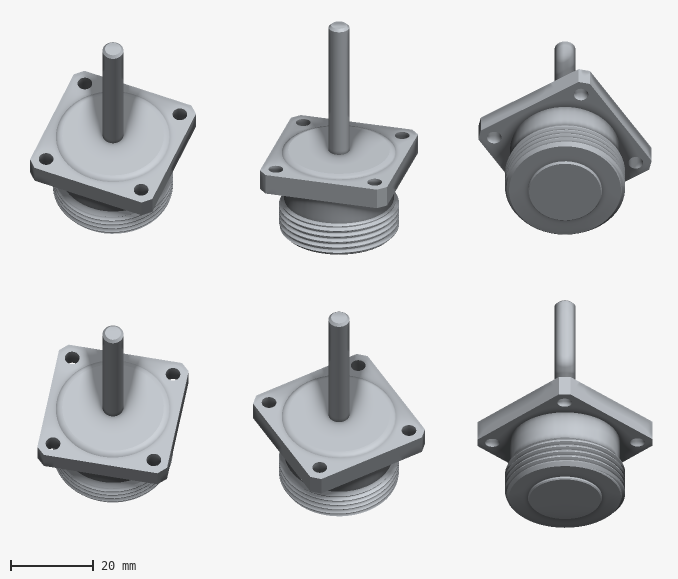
import cadquery as cq
import math

total_height = 56.5
pilot_height = 0.7
neck_bottom = 9.1
flange_bottom = 16.45
flange_top = 21.5
cap_top = 22.2

flange_width = 32.0
corner_chamfer = 2.0
hole_offset = 12.45
hole_diameter = 3.55

pilot_radius = 9.0
pilot_chamfer = 0.3
neck_radius = 13.35
cap_base_radius = 13.85
cap_top_radius = 12.3
cap_bulge = 0.1
rod_radius = 2.55
rod_chamfer = 0.6

thread_radius = 14.6
thread_pitch = 1.505
thread_depth = 0.8
thread_chamfer = 1.0
crest_width = thread_pitch / 8
root_width = thread_pitch / 4
groove_start = -1.1
groove_turns = 8


def cylinder(radius, bottom, top):
    return cq.Workplane("XY").workplane(offset=bottom).circle(radius).extrude(top - bottom)


def make_flange():
    thickness = flange_top - flange_bottom
    plate = cq.Workplane("XY").workplane(offset=flange_bottom).rect(flange_width, flange_width)
    plate = plate.extrude(thickness).edges("|Z").chamfer(corner_chamfer)
    hole_spacing = 2 * hole_offset
    return (
        plate.faces(">Z").workplane(origin=(0, 0, flange_top))
        .rect(hole_spacing, hole_spacing, forConstruction=True)
        .vertices()
        .hole(hole_diameter)
    )


def make_cap():
    """Shallow disc with a rounded, sloping rim, starting at the flange top."""
    rim_slope = math.hypot(cap_base_radius - cap_top_radius, cap_top - flange_top)
    normal_x = (cap_top - flange_top) / rim_slope
    normal_z = (cap_base_radius - cap_top_radius) / rim_slope
    rim_middle = (
        (cap_base_radius + cap_top_radius) / 2 + cap_bulge * normal_x,
        (flange_top + cap_top) / 2 + cap_bulge * normal_z,
    )
    return (
        cq.Workplane("XZ")
        .moveTo(0, flange_top)
        .lineTo(cap_base_radius, flange_top)
        .threePointArc(rim_middle, (cap_top_radius, cap_top))
        .lineTo(0, cap_top)
        .close()
        .revolve(360, (0, 0), (0, 1))
    )


def make_thread_blank():
    """Thread body with a cone up to the neck and a chamfered lower end."""
    upper_cone = thread_radius - neck_radius
    return (
        cq.Workplane("XZ")
        .moveTo(0, pilot_height)
        .lineTo(thread_radius - thread_chamfer, pilot_height)
        .lineTo(thread_radius, pilot_height + thread_chamfer)
        .lineTo(thread_radius, neck_bottom - upper_cone)
        .lineTo(neck_radius, neck_bottom)
        .lineTo(0, neck_bottom)
        .close()
        .revolve(360, (0, 0), (0, 1))
    )


def make_thread_groove():
    """Helical cutter that runs out past both ends of the thread body."""
    root_radius = thread_radius - thread_depth
    flank_rise = (thread_pitch - crest_width - root_width) / 2
    flank_slope = flank_rise / thread_depth
    clearance = crest_width / 4 / flank_slope
    mouth_half_width = root_width / 2 + flank_rise + clearance * flank_slope
    helix = cq.Wire.makeHelix(thread_pitch, groove_turns * thread_pitch, root_radius)
    groove = (
        cq.Workplane("XZ")
        .moveTo(root_radius, -root_width / 2)
        .lineTo(thread_radius + clearance, -mouth_half_width)
        .lineTo(thread_radius + clearance, mouth_half_width)
        .lineTo(root_radius, root_width / 2)
        .close()
        .sweep(cq.Workplane(obj=helix), isFrenet=True)
    )
    return groove.translate((0, 0, groove_start))


def make_thread():
    """Threaded bar, longer than the groove, trimmed to the thread body."""
    groove_top = groove_start + groove_turns * thread_pitch
    bar_bottom = groove_start - 2 * thread_pitch
    bar_top = groove_top + 2 * thread_pitch
    bar = cylinder(thread_radius, bar_bottom, bar_top)
    return bar.cut(make_thread_groove()).intersect(make_thread_blank())


pilot = cylinder(pilot_radius, 0, pilot_height).faces("<Z").chamfer(pilot_chamfer)
thread = make_thread()
neck = cylinder(neck_radius, neck_bottom, flange_bottom)
rod = cylinder(rod_radius, cap_top, total_height).faces(">Z").chamfer(rod_chamfer)

result = pilot.union(thread).union(neck).union(make_flange()).union(make_cap()).union(rod)